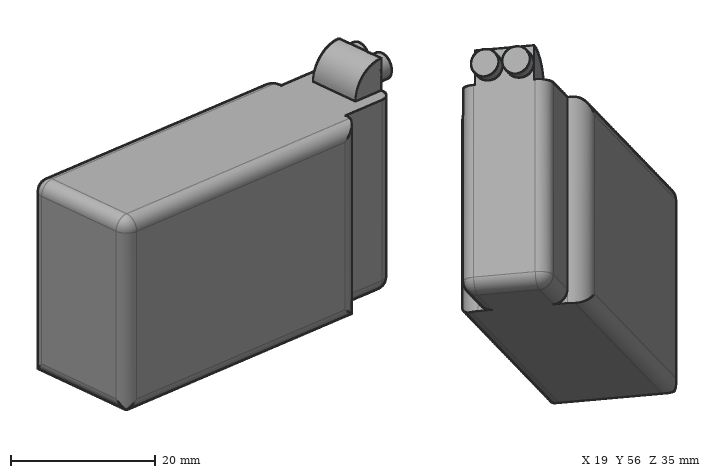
import cadquery as cq

length = 56.0
body_width = 19.0
case_height = 30.0
body_length = 45.0
edge_radius = 2.0
shoulder_radius = 3.0
neck_width = body_width - 2 * shoulder_radius

latch_radius = 5.0
latch_width = 8.5
pin_diameter = 4.0
pin_length = 2.0
pin_embedding = 1.1
pin_height = 2.4
pin_spacing = latch_width - pin_diameter

neck_end = length - pin_length


def box_from_front(width, depth, height):
    """Box centred on X, starting at Y = 0 and Z = 0."""
    return cq.Workplane("XY").box(width, depth, height, centered=(True, False, False))


def body_block():
    return box_from_front(body_width, body_length, case_height)


def make_body():
    """Intersect rounded blocks, so that edges rounded on different blocks meet in mitres."""
    lengthwise = body_block().edges("|Y and <Z").fillet(edge_radius)
    upright = body_block().edges("|Z and >Y").fillet(shoulder_radius)
    crosswise = body_block().edges("|X and <Y and <Z").fillet(edge_radius)

    ball_cornered = (
        body_block()
        .edges("(|Y and >Z) or (|Z and <Y) or (|X and <Y and >Z)")
        .fillet(edge_radius)
    )
    return ball_cornered.intersect(lengthwise).intersect(upright).intersect(crosswise)


def make_neck():
    """Neck running into the body, rounded at the rear and bottom but flat on top."""
    start = body_length / 2
    return (
        box_from_front(neck_width, neck_end - start, case_height)
        .translate((0, start, 0))
        .edges("(|Z and >Y) or (|Y and <Z) or (|X and >Y and <Z)")
        .fillet(edge_radius)
    )


def make_latch():
    block = box_from_front(latch_width, latch_radius, latch_radius)
    barrel = (
        cq.Workplane("YZ")
        .center(latch_radius, 0)
        .circle(latch_radius)
        .extrude(latch_width / 2, both=True)
    )
    return block.intersect(barrel).translate((0, neck_end - latch_radius, case_height))


def make_pins():
    """Pins begin inside the latch and stand out behind it."""
    return (
        cq.Workplane("XZ", origin=(0, length, case_height + pin_height))
        .pushPoints([(-pin_spacing / 2, 0), (pin_spacing / 2, 0)])
        .circle(pin_diameter / 2)
        .extrude(pin_length + pin_embedding)
    )


result = make_body().union(make_neck()).union(make_latch()).union(make_pins())